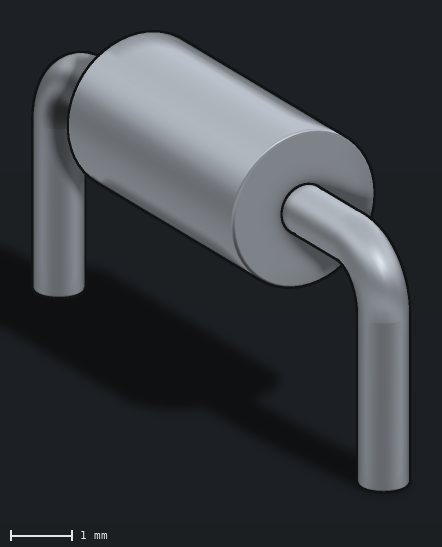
import cadquery as cq

overall_length = 11.02
overall_height = 5.32
body_diameter = 2.72
body_length = 5.2
body_edge_radius = 0.05

wire_diameter = 0.87
bend_radius = 1.0
wire_tip_radius = 0.05

lead_x = (overall_length - wire_diameter) / 2
lead_bottom_z = body_diameter / 2 - overall_height


def make_body():
    """Cylindrical body along X with softened end edges."""
    body = cq.Workplane("YZ", origin=(-body_length / 2, 0, 0)).circle(body_diameter / 2).extrude(body_length)
    return body.faces("<X or >X").edges().fillet(body_edge_radius)


def make_wire():
    """One continuous wire through the body, bent down at both ends."""
    bend_start_x = lead_x - bend_radius
    path = (
        cq.Workplane("XZ")
        .moveTo(-lead_x, lead_bottom_z)
        .lineTo(-lead_x, -bend_radius)
        .tangentArcPoint((-bend_start_x, 0), relative=False)
        .lineTo(bend_start_x, 0)
        .tangentArcPoint((lead_x, -bend_radius), relative=False)
        .lineTo(lead_x, lead_bottom_z)
    )
    section = cq.Workplane("XY", origin=(-lead_x, 0, lead_bottom_z)).circle(wire_diameter / 2)
    wire = section.sweep(path)
    return wire.faces("<Z").edges().fillet(wire_tip_radius)


result = make_body().union(make_wire())